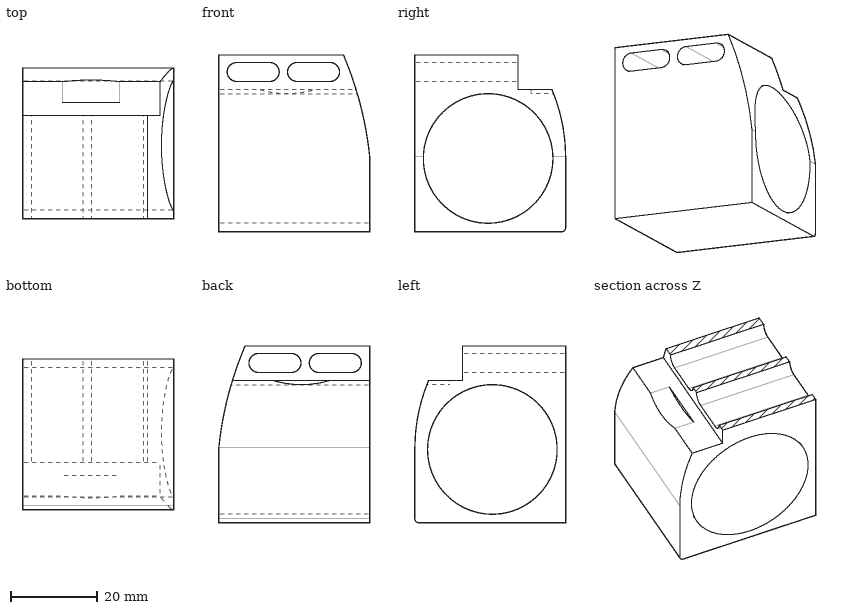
import cadquery as cq
import math

width = 35.0
depth = 35.0
height = 41.0

bore_radius = 15.0
bore_axis_y = 17.0
bore_axis_z = 17.0

step_y = 24.0
step_z = 33.0

curve_start_z = 17.5
x_curve_inset = 6.05
x_curve_sagitta = 0.9
y_curve_inset = 3.2
y_curve_sagitta = 0.78

recess_center_x = 15.83
recess_width = 13.1
recess_start_y = 26.98
recess_sag = 1.0

slot_count = 2
slot_length = 12.0
slot_height = 4.35
slot_pitch = 14.0
first_slot_x = 8.0
slot_z = 37.05

bottom_fillet = 1.0


def curved_side(plane, side, end_z, inset, sagitta):
    """Open outline along the base and up a side that curves inward to end_z."""
    rise = end_z - curve_start_z
    chord = math.hypot(rise, inset)
    arc_middle = (
        side - inset / 2 + sagitta * rise / chord,
        curve_start_z + rise / 2 + sagitta * inset / chord,
    )
    return (
        cq.Workplane(plane)
        .lineTo(side, 0)
        .lineTo(side, curve_start_z)
        .threePointArc(arc_middle, (side - inset, end_z))
    )


def make_body():
    """Stepped block curved on +X and +Y, the two curves meeting in a mitre."""
    along_y = (
        curved_side("XZ", width, height, x_curve_inset, x_curve_sagitta)
        .lineTo(0, height)
        .close()
        .extrude(-depth)
    )
    along_x = (
        curved_side("YZ", depth, step_z, y_curve_inset, y_curve_sagitta)
        .lineTo(step_y, step_z)
        .lineTo(step_y, height)
        .lineTo(0, height)
        .close()
        .extrude(width)
    )
    return along_y.intersect(along_x).edges("|X and >Y and <Z").fillet(bottom_fillet)


def make_recess():
    half_width = recess_width / 2
    return (
        cq.Workplane("XZ", origin=(recess_center_x, recess_start_y, step_z))
        .moveTo(-half_width, 0)
        .threePointArc((0, -recess_sag), (half_width, 0))
        .close()
        .extrude(-(depth - recess_start_y))
    )


def make_bore():
    return (
        cq.Workplane("YZ")
        .center(bore_axis_y, bore_axis_z)
        .circle(bore_radius)
        .extrude(width)
    )


def make_slots():
    centers = [(first_slot_x + i * slot_pitch, slot_z) for i in range(slot_count)]
    return (
        cq.Workplane("XZ")
        .pushPoints(centers)
        .slot2D(slot_length, slot_height)
        .extrude(-depth)
    )


result = (
    make_body()
    .cut(make_recess())
    .cut(make_bore())
    .cut(make_slots())
)